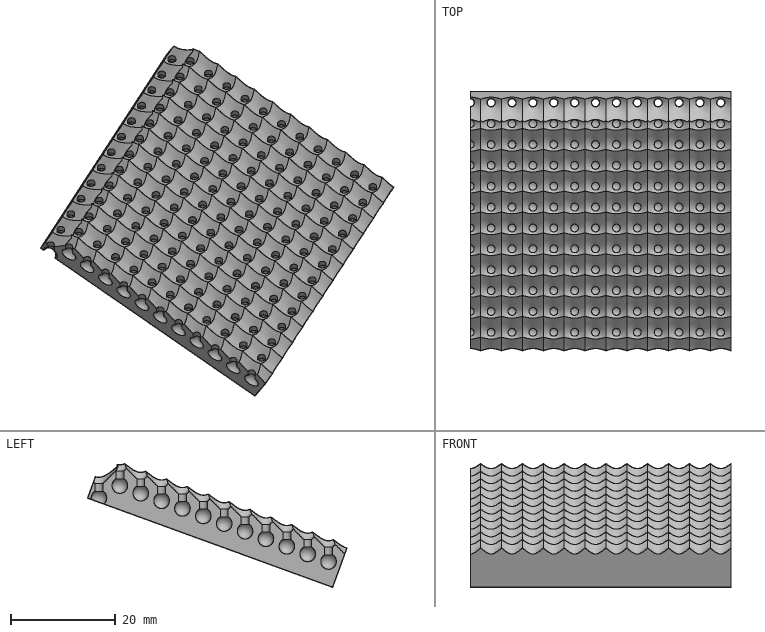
import cadquery as cq
import math

side = 50.0
thickness = 10.0
tilt = 20.0

pitch = 4.0
column_count = 13
row_count = 13
end_row_drop = 3.85

sphere_radius = 1.5
sphere_depth = 0.65
neck_radius = 0.75
neck_top = 2.75
funnel_slope = 1.0
rim_radius = pitch


def make_strip():
    """One column of the tilted plate, one pitch wide and centred on x = 0."""
    return cq.Workplane("XY").box(pitch, side, thickness).rotate((0, 0, 0), (1, 0, 0), tilt)


def make_socket():
    """Sphere, neck, funnel and rim revolved about Z, with the sphere centre at the origin."""
    neck_foot = math.sqrt(sphere_radius**2 - neck_radius**2)
    rim_foot = neck_top + funnel_slope * (rim_radius - neck_radius)
    cutter_top = rim_foot + thickness
    return (
        cq.Workplane("XZ")
        .moveTo(0, -sphere_radius)
        .threePointArc((sphere_radius, 0), (neck_radius, neck_foot))
        .lineTo(neck_radius, neck_top)
        .lineTo(rim_radius, rim_foot)
        .lineTo(rim_radius, cutter_top)
        .lineTo(0, cutter_top)
        .close()
        .revolve(360, (0, 0), (0, 1))
    )


def socket_centre(row):
    """Sphere centre of a row, counted from the low end."""
    y = -side / 2 + row * pitch
    z = y * math.tan(math.radians(tilt)) - sphere_depth
    if row == row_count - 1:
        z -= end_row_drop
    return cq.Vector(0, y, z)


socket = make_socket().val()
sockets = [socket.translate(socket_centre(row)) for row in range(row_count)]
column = make_strip().val().cut(*sockets)

first_x = -side / 2
columns = [column.translate(cq.Vector(first_x + index * pitch, 0, 0)) for index in range(column_count)]

beyond_side = cq.Workplane("XY").box(side, 2 * side, 2 * side).translate((first_x - side / 2, 0, 0))
columns[0] = columns[0].cut(beyond_side.val())

plate = columns[0].fuse(*columns[1:]).clean()
result = cq.Workplane(plate.Solids()[0])